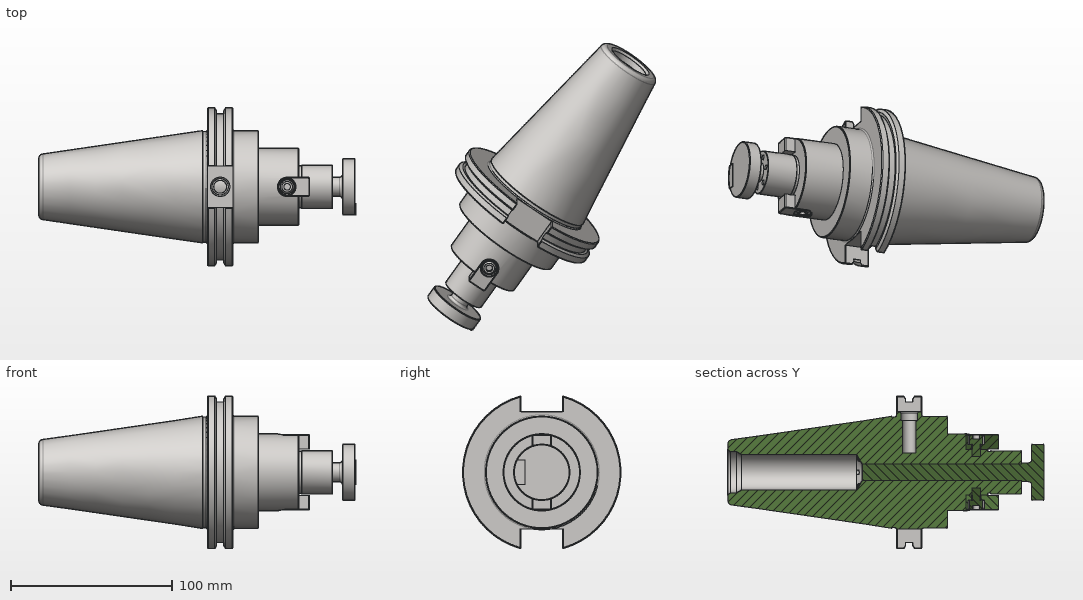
import cadquery as cq
import math


GAUGE_DIA = 69.85
TAPER_LENGTH = 101.6
TAPER_RATIO = 7 / 24
SMALL_END_DIA = GAUGE_DIA - TAPER_LENGTH * TAPER_RATIO
NOSE_FILLET = 3.0
RELIEF_DIA = 69.0
RELIEF_CHAMFER = (GAUGE_DIA - RELIEF_DIA) / 2

FLANGE_DIA = 98.43
FLANGE_START = TAPER_LENGTH + 3.175
FLANGE_WIDTH = 15.875
FLANGE_END = FLANGE_START + FLANGE_WIDTH
FLANGE_MID = FLANGE_START + FLANGE_WIDTH / 2
FLANGE_CHAMFER = 0.6
FLANGE_ROOT_FILLET = 0.8
GROOVE_FLOOR_DIA = 91.1
GROOVE_FLOOR_WIDTH = 4.4
GROOVE_STEP_DIA = 94.4
GROOVE_RIM_WIDTH = 6.8

NOTCH_WIDTH = 25.7
NOTCH_EDGE_CHAMFER = 0.6
TOP_NOTCH_FLOOR = 37.7
BOTTOM_NOTCH_FLOOR = 35.3

CROSS_HOLE_MOUTH_DIA = 12.0
CROSS_HOLE_DIA = 10.13
CROSS_HOLE_DEPTH = 5.4
CROSS_HOLE_TIP_DIA = 8.0
CROSS_HOLE_FLOOR_RADIUS = 12.0

SHOULDER_DIA = GAUGE_DIA
SHOULDER_END = TAPER_LENGTH + 35.0
NOSE_DIA = 48.0
NOSE_END = SHOULDER_END + 25.0
SPIGOT_DIA = 27.0
SPIGOT_END = NOSE_END + 21.0
UNDERCUT_DIA = 26.36
UNDERCUT_WIDTH = 1.6
EDGE_CHAMFER = 0.5
SPIGOT_CHAMFER = 0.3

BORE_MOUTH_DIA = 28.2
BORE_MOUTH_DEPTH = 1.6
BORE_ENTRY_DIA = 25.47
BORE_ENTRY_END = 5.6
BORE_DIA = 21.97
BORE_CONE_END = 8.6
BORE_END = 80.0
BORE_TIP_ANGLE = 118.0
THREAD_DIA = 10.11
BORE_TIP_DEPTH = (BORE_DIA - THREAD_DIA) / 2 / math.tan(math.radians(BORE_TIP_ANGLE / 2))
THREAD_START = BORE_END + BORE_TIP_DEPTH

COOLANT_DIA = 3.0
COOLANT_COUNT = 6
COOLANT_CIRCLE_RADIUS = 9.6

SHANK_DIA = 12.0
SHANK_START = SPIGOT_END
NECK_FILLET = 1.8
HEAD_DIA = 35.0
HEAD_START = SPIGOT_END + 6.0
HEAD_WIDTH = 8.0
HEAD_END = HEAD_START + HEAD_WIDTH
HEAD_CHAMFER = 0.5
TOTAL_LENGTH = 196.95
PAD_WIDTH = 15.2
PAD_INNER_EDGE = 10.4

KEY_WIDTH = 12.0
KEY_PIVOT = NOSE_END - 7.3
KEY_END = NOSE_END + 6.7
KEY_BOTTOM = 14.4
KEY_TOP = 23.4
KEY_CORNER_CHAMFER = 0.7
KEY_TOP_CHAMFER = 0.5
COUNTERBORE_DIA = 10.01
COUNTERBORE_MOUTH_DIA = 11.0
COUNTERBORE_DEPTH = 6.0
COUNTERBORE_FLOOR = KEY_TOP - COUNTERBORE_DEPTH
KEY_CLEARANCE_DIA = 5.51
KEY_SCREW_HEAD_DIA = 8.5
KEY_SCREW_HEAD_TOP_DIA = 6.6
KEY_SCREW_HEAD_RECESS = 0.2
KEY_SCREW_SHANK_DIA = 5.0
KEY_SCREW_ENGAGEMENT = 4.5
KEY_SCREW_TIP = KEY_BOTTOM - KEY_SCREW_ENGAGEMENT
SOCKET_DIA = 4.13
SOCKET_DEPTH = 2.5


def turned(points):
    """Solid of revolution about the X axis from (x, radius) points."""
    return cq.Workplane("XY").polyline(points).close().revolve(360, (0, 0, 0), (1, 0, 0))


def rod(start, end, diameter):
    """Cylinder along the X axis."""
    return cq.Workplane("YZ", origin=(start, 0, 0)).circle(diameter / 2).extrude(end - start)


def post(x, bottom, top, diameter):
    """Upright cylinder along Z."""
    return cq.Workplane("XY", origin=(x, 0, bottom)).circle(diameter / 2).extrude(top - bottom)


def countersink(x, top, top_dia, bottom_dia):
    """Upright 45-degree cone narrowing downwards from top_dia to bottom_dia."""
    depth = (top_dia - bottom_dia) / 2
    cone = cq.Solid.makeCone(bottom_dia / 2, top_dia / 2, depth, cq.Vector(x, 0, top - depth))
    return cq.Workplane(obj=cone)


def half_turn(body):
    """Copy of a body turned half a revolution about the X axis."""
    return body.rotate((0, 0, 0), (1, 0, 0), 180)


def taper():
    cone = turned([
        (0, 0),
        (0, SMALL_END_DIA / 2),
        (TAPER_LENGTH, GAUGE_DIA / 2),
        (TAPER_LENGTH + RELIEF_CHAMFER, RELIEF_DIA / 2),
        (FLANGE_START, RELIEF_DIA / 2),
        (FLANGE_START, 0),
    ])
    return cone.faces("<X").edges().fillet(NOSE_FILLET)


def flange():
    rim = FLANGE_DIA / 2
    profile = [
        (FLANGE_START, 0),
        (FLANGE_START, rim - FLANGE_CHAMFER),
        (FLANGE_START + FLANGE_CHAMFER, rim),
        (FLANGE_MID - GROOVE_RIM_WIDTH / 2, rim),
        (FLANGE_MID - GROOVE_FLOOR_WIDTH / 2, GROOVE_STEP_DIA / 2),
        (FLANGE_MID - GROOVE_FLOOR_WIDTH / 2, GROOVE_FLOOR_DIA / 2),
        (FLANGE_MID + GROOVE_FLOOR_WIDTH / 2, GROOVE_FLOOR_DIA / 2),
        (FLANGE_MID + GROOVE_FLOOR_WIDTH / 2, GROOVE_STEP_DIA / 2),
        (FLANGE_MID + GROOVE_RIM_WIDTH / 2, rim),
        (FLANGE_END - FLANGE_CHAMFER, rim),
        (FLANGE_END, rim - FLANGE_CHAMFER),
        (FLANGE_END, 0),
    ]
    return turned(profile)


def root_fillet(face, side, diameter, size):
    """Concave ring in the corner between a face across X and the cylinder standing on it."""
    radius = diameter / 2
    bow = size * (1 - math.sqrt(0.5))
    return (
        cq.Workplane("XY")
        .moveTo(face, radius + size)
        .threePointArc((face + side * bow, radius + bow), (face + side * size, radius))
        .lineTo(face + side * size, radius - size)
        .lineTo(face, radius - size)
        .close()
        .revolve(360, (0, 0, 0), (1, 0, 0))
    )


def drive_notch(floor):
    """Straight notch across the flange, flared to chamfer its edges at the rim and at both faces."""
    half = NOTCH_WIDTH / 2
    mouth = half + NOTCH_EDGE_CHAMFER
    rim = FLANGE_DIA / 2
    wall_top = math.sqrt(rim**2 - half**2)
    flared_at_rim = [
        (-half, floor),
        (-half, wall_top - NOTCH_EDGE_CHAMFER),
        (-mouth, wall_top),
        (-mouth, rim),
        (mouth, rim),
        (mouth, wall_top),
        (half, wall_top - NOTCH_EDGE_CHAMFER),
        (half, floor),
    ]
    flared_at_faces = [
        (FLANGE_START, -mouth),
        (FLANGE_START + NOTCH_EDGE_CHAMFER, -half),
        (FLANGE_END - NOTCH_EDGE_CHAMFER, -half),
        (FLANGE_END, -mouth),
        (FLANGE_END, mouth),
        (FLANGE_END - NOTCH_EDGE_CHAMFER, half),
        (FLANGE_START + NOTCH_EDGE_CHAMFER, half),
        (FLANGE_START, mouth),
    ]
    face_plane = cq.Workplane("YZ", origin=(FLANGE_START, 0, 0))
    floor_plane = cq.Workplane("XY", origin=(0, 0, floor))
    along = face_plane.polyline(flared_at_rim).close().extrude(FLANGE_WIDTH)
    down = floor_plane.polyline(flared_at_faces).close().extrude(rim - floor)
    return along.union(down)


def front_end():
    shoulder = rod(FLANGE_END, SHOULDER_END, SHOULDER_DIA).faces(">X").edges().chamfer(EDGE_CHAMFER)
    nose = rod(SHOULDER_END, NOSE_END, NOSE_DIA).faces(">X").edges().chamfer(EDGE_CHAMFER)
    undercut = rod(NOSE_END, NOSE_END + UNDERCUT_WIDTH, UNDERCUT_DIA)
    spigot = rod(NOSE_END + UNDERCUT_WIDTH, SPIGOT_END, SPIGOT_DIA).edges().chamfer(SPIGOT_CHAMFER)
    return shoulder.union(nose).union(undercut).union(spigot)


def bore():
    return turned([
        (0, 0),
        (0, BORE_MOUTH_DIA / 2),
        (BORE_MOUTH_DEPTH, BORE_ENTRY_DIA / 2),
        (BORE_ENTRY_END, BORE_ENTRY_DIA / 2),
        (BORE_CONE_END, BORE_DIA / 2),
        (BORE_END, BORE_DIA / 2),
        (THREAD_START, THREAD_DIA / 2),
        (THREAD_START, 0),
    ])


def coolant_holes():
    return (
        cq.Workplane("YZ", origin=(BORE_END, 0, 0))
        .polarArray(COOLANT_CIRCLE_RADIUS, 0, 360, COOLANT_COUNT)
        .circle(COOLANT_DIA / 2)
        .extrude(SPIGOT_END - BORE_END)
    )


def cross_hole():
    tapped = post(FLANGE_MID, TOP_NOTCH_FLOOR - CROSS_HOLE_DEPTH, TOP_NOTCH_FLOOR, CROSS_HOLE_DIA)
    tip = post(FLANGE_MID, 0, TOP_NOTCH_FLOOR, CROSS_HOLE_TIP_DIA)
    mouth = countersink(FLANGE_MID, TOP_NOTCH_FLOOR, CROSS_HOLE_MOUTH_DIA, CROSS_HOLE_DIA)
    core = rod(FLANGE_START, FLANGE_END, 2 * CROSS_HOLE_FLOOR_RADIUS)
    return tapped.union(tip).union(mouth).cut(core)


def key_blank(top):
    """Key outline, round at the inner end, from the slot floor up to the given height."""
    length = KEY_END - KEY_PIVOT
    height = top - KEY_BOTTOM
    bar = cq.Workplane("XY", origin=(KEY_PIVOT, 0, KEY_BOTTOM)).box(
        length, KEY_WIDTH, height, centered=(False, True, False)
    )
    return bar.union(post(KEY_PIVOT, KEY_BOTTOM, top, KEY_WIDTH))


holder = (
    taper()
    .union(flange())
    .union(root_fillet(FLANGE_START, -1, RELIEF_DIA, FLANGE_ROOT_FILLET))
    .union(root_fillet(FLANGE_END, 1, SHOULDER_DIA, FLANGE_ROOT_FILLET))
    .union(front_end())
    .cut(bore())
    .cut(coolant_holes())
    .cut(drive_notch(TOP_NOTCH_FLOOR))
    .cut(half_turn(drive_notch(BOTTOM_NOTCH_FLOOR)))
    .cut(cross_hole())
    .cut(rod(THREAD_START, SHANK_START, THREAD_DIA))
)
key_pocket = key_blank(NOSE_DIA).union(post(KEY_PIVOT, KEY_SCREW_TIP, KEY_BOTTOM, KEY_SCREW_SHANK_DIA))
for pocket in (key_pocket, half_turn(key_pocket)):
    holder = holder.cut(pocket)


def arbor_screw():
    """Screw with a round head and a low raised pad near one edge of the head face."""
    head = rod(HEAD_START, HEAD_END, HEAD_DIA).edges().chamfer(HEAD_CHAMFER)
    pad = (
        cq.Workplane("XY")
        .box(TOTAL_LENGTH - HEAD_END, HEAD_DIA, PAD_WIDTH, centered=(False, False, True))
        .translate((HEAD_END, -HEAD_DIA - PAD_INNER_EDGE, 0))
        .intersect(rod(HEAD_END, TOTAL_LENGTH, HEAD_DIA))
    )
    thread = rod(THREAD_START, SHANK_START, THREAD_DIA)
    shank = rod(SHANK_START, HEAD_START, SHANK_DIA)
    neck = root_fillet(HEAD_START, -1, SHANK_DIA, NECK_FILLET)
    return thread.union(shank).union(head).union(neck).union(pad)


screw = arbor_screw()


def drive_key():
    return (
        key_blank(KEY_TOP)
        .edges("|Z and >X").chamfer(KEY_CORNER_CHAMFER)
        .faces(">Z").edges().chamfer(KEY_TOP_CHAMFER)
        .cut(post(KEY_PIVOT, KEY_BOTTOM, KEY_TOP, KEY_CLEARANCE_DIA))
        .cut(post(KEY_PIVOT, COUNTERBORE_FLOOR, KEY_TOP, COUNTERBORE_DIA))
        .cut(countersink(KEY_PIVOT, KEY_TOP, COUNTERBORE_MOUTH_DIA, COUNTERBORE_DIA))
    )


def key_screw():
    head_top = KEY_TOP - KEY_SCREW_HEAD_RECESS
    head = post(KEY_PIVOT, COUNTERBORE_FLOOR, head_top, KEY_SCREW_HEAD_DIA)
    head = head.faces(">Z").edges().chamfer((KEY_SCREW_HEAD_DIA - KEY_SCREW_HEAD_TOP_DIA) / 2)
    shank = post(KEY_PIVOT, KEY_SCREW_TIP, COUNTERBORE_FLOOR, KEY_SCREW_SHANK_DIA)
    socket = post(KEY_PIVOT, head_top - SOCKET_DEPTH, head_top, SOCKET_DIA)
    return head.union(shank).cut(socket)


keys = [drive_key(), half_turn(drive_key())]
key_screws = [key_screw(), half_turn(key_screw())]

result = cq.Compound.makeCompound(
    [body.val() for body in (holder, screw, *keys, *key_screws)]
)